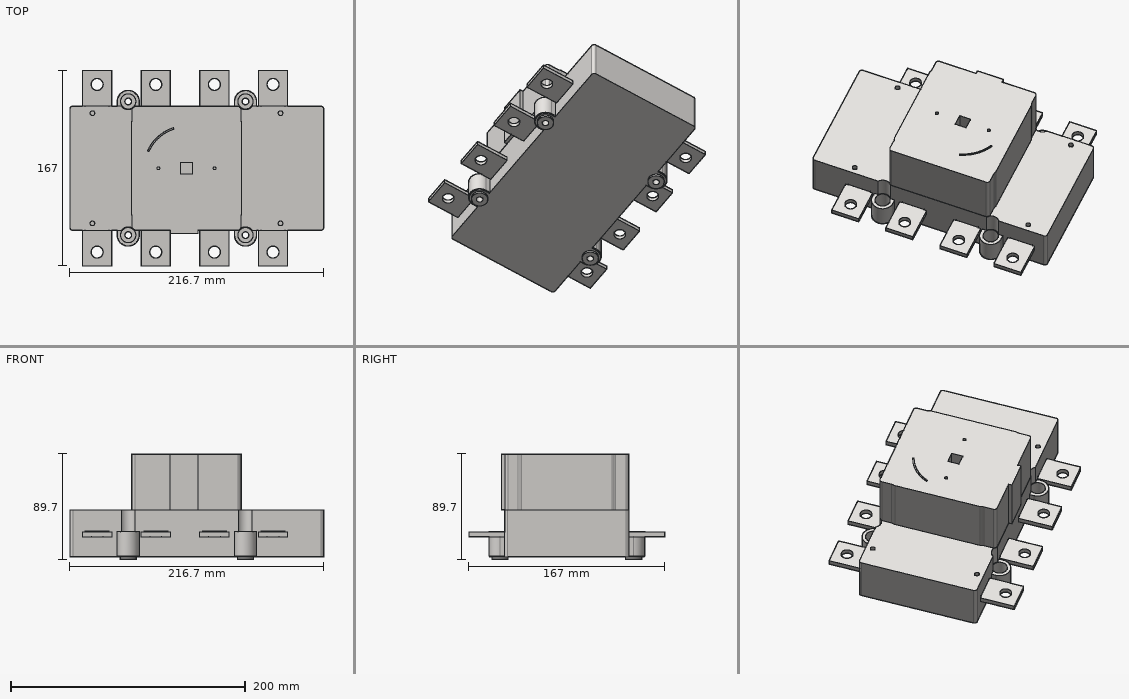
import cadquery as cq
import math


base_left = -99.5
base_length = 216.7
base_depth = 106.0
base_height = 40.0
base_corner_radius = 2.5

cover_depth = 105.6
cover_height = 47.5
cover_top = base_height + cover_height
cover_half_width = 47.0
cover_end_half_width = 46.3
cover_step_y = 40.0
cover_step_run = 3.0
cover_corner_radius = 2.5
lip_center_x = -2.0
lip_width = 24.0
lip_projection = 3.0

pole_pitch = 50.0
pole_count = 4
first_pole_x = -76.2
tab_width = 25.0
tab_thickness = 4.3
tab_top = 21.2
tab_span = 167.0
tab_hole_diameter = 10.0
tab_hole_inset = 12.0
tab_relief_width = 20.5
tab_relief_height = 0.6
tab_relief_depth = 3.0

post_center_x = 0.3
post_spacing_x = 100.0
post_y = 57.0
post_diameter = 19.0
post_top = 21.5
post_root_length = 30.0
post_edge_chamfer = 0.7
foot_diameter = 14.0
foot_height = 2.2
wall_scallop_diameter = 14.0
head_recess_diameter = 13.0
head_recess_floor = 5.0
screw_hole_diameter = 5.5

spindle_socket_width = 10.0
spindle_socket_depth = 20.0
pin_hole_diameter = 2.5
pin_hole_x = 24.0
pin_hole_depth = 5.0
base_hole_diameter = 4.0
base_hole_x = 80.2
base_hole_y = 47.0
base_hole_depth = 5.0

mark_outer_radius = 36.4
mark_width = 1.3
mark_start_angle = 108.0
mark_end_angle = 156.0
mark_depth = 0.2

pole_centers_x = [first_pole_x + pole * pole_pitch for pole in range(pole_count)]
post_centers = [(post_center_x + sx * post_spacing_x / 2, sy * post_y) for sx in (-1, 1) for sy in (-1, 1)]


def box(left, right, front, back, bottom, top):
    """Axis-aligned block given by its six limits."""
    return (
        cq.Workplane("XY", origin=(0, 0, bottom))
        .moveTo((left + right) / 2, (front + back) / 2)
        .rect(right - left, back - front)
        .extrude(top - bottom)
    )


def make_base():
    block = box(base_left, base_left + base_length, -base_depth / 2, base_depth / 2, 0, base_height)
    return block.edges("|Z").fillet(base_corner_radius)


def make_cover():
    """Cover block, slightly wider in the middle, with smooth S-shaped steps in its sides."""
    end_y = cover_depth / 2
    step_middle_x = (cover_half_width + cover_end_half_width) / 2
    step_inner_y = cover_step_y - cover_step_run / 2
    step_outer_y = cover_step_y + cover_step_run / 2
    half = (
        cq.Workplane("XY", origin=(0, 0, base_height))
        .moveTo(0, -end_y)
        .lineTo(cover_end_half_width, -end_y)
        .lineTo(cover_end_half_width, -step_outer_y)
        .tangentArcPoint((step_middle_x, -cover_step_y), relative=False)
        .tangentArcPoint((cover_half_width, -step_inner_y), relative=False)
        .lineTo(cover_half_width, step_inner_y)
        .tangentArcPoint((step_middle_x, cover_step_y), relative=False)
        .tangentArcPoint((cover_end_half_width, step_outer_y), relative=False)
        .lineTo(cover_end_half_width, end_y)
        .lineTo(0, end_y)
        .close()
        .extrude(cover_height)
    )
    half = half.edges("|Z").edges(">Y or <Y").edges(">X").fillet(cover_corner_radius)
    return half.union(half.mirror("YZ"))


def make_lip():
    """Shallow raised pad on the front face of the cover."""
    left = lip_center_x - lip_width / 2
    right = lip_center_x + lip_width / 2
    return box(left, right, -cover_depth / 2 - lip_projection, 0, base_height, cover_top)


def make_tabs():
    """Flat terminal bars running through the base, one per pole, drilled near both ends."""
    bottom = tab_top - tab_thickness
    hole_y = tab_span / 2 - tab_hole_inset
    tabs = cq.Workplane("XY")
    for x in pole_centers_x:
        tab = box(x - tab_width / 2, x + tab_width / 2, -tab_span / 2, tab_span / 2, bottom, tab_top)
        tabs = tabs.add(drill(tab, [(x, -hole_y), (x, hole_y)], tab_hole_diameter, tab_top, tab_thickness))
    return tabs.combine()


def make_tab_reliefs():
    """Thin slits in the front and back base walls, just above every tab."""
    wall = base_depth / 2
    top = tab_top + tab_relief_height
    reliefs = cq.Workplane("XY")
    for x in pole_centers_x:
        left = x - tab_relief_width / 2
        right = x + tab_relief_width / 2
        reliefs = reliefs.add(box(left, right, -wall, -wall + tab_relief_depth, tab_top, top))
        reliefs = reliefs.add(box(left, right, wall - tab_relief_depth, wall, tab_top, top))
    return reliefs.combine()


def drill(body, centers, diameter, top, depth):
    """Cut round holes of the given depth downward from the height `top`."""
    cutter = cq.Workplane("XY", origin=(0, 0, top)).pushPoints(centers).circle(diameter / 2).extrude(-depth)
    return body.cut(cutter)


def make_post(x, y):
    """Round post joined to the base by straight flanks, standing on a narrower foot."""
    side = math.copysign(1, y)
    root_y = y - side * post_root_length
    post = (
        cq.Workplane("XY")
        .moveTo(x - post_diameter / 2, root_y)
        .lineTo(x - post_diameter / 2, y)
        .threePointArc((x, y + side * post_diameter / 2), (x + post_diameter / 2, y))
        .lineTo(x + post_diameter / 2, root_y)
        .close()
        .extrude(post_top)
        .faces("<Z")
        .edges("%CIRCLE")
        .chamfer(post_edge_chamfer)
    )
    foot = cq.Workplane("XY").center(x, y).circle(foot_diameter / 2).extrude(-foot_height)
    return post.union(foot)


def make_travel_mark():
    """Ring sector swept around the spindle between the two switch positions."""
    inner_radius = mark_outer_radius - mark_width
    middle_angle = (mark_start_angle + mark_end_angle) / 2

    def polar(radius, angle):
        return (radius * math.cos(math.radians(angle)), radius * math.sin(math.radians(angle)))

    return (
        cq.Workplane("XY", origin=(0, 0, cover_top))
        .moveTo(*polar(inner_radius, mark_start_angle))
        .lineTo(*polar(mark_outer_radius, mark_start_angle))
        .threePointArc(polar(mark_outer_radius, middle_angle), polar(mark_outer_radius, mark_end_angle))
        .lineTo(*polar(inner_radius, mark_end_angle))
        .threePointArc(polar(inner_radius, middle_angle), polar(inner_radius, mark_start_angle))
        .close()
        .extrude(-mark_depth)
    )


base = make_base()
for post_center in post_centers:
    base = base.union(make_post(*post_center))
base = drill(base, post_centers, wall_scallop_diameter, base_height, base_height - post_top)
base = drill(base, post_centers, head_recess_diameter, post_top, post_top - head_recess_floor)
base = drill(base, post_centers, screw_hole_diameter, base_height, base_height + foot_height)

base_hole_centers = [(sx * base_hole_x, sy * base_hole_y) for sx in (-1, 1) for sy in (-1, 1)]
base = drill(base, base_hole_centers, base_hole_diameter, base_height, base_hole_depth)
base = base.cut(make_tab_reliefs())

cover = make_cover().union(make_lip())
socket_half = spindle_socket_width / 2
cover = cover.cut(
    box(-socket_half, socket_half, -socket_half, socket_half, cover_top - spindle_socket_depth, cover_top)
)
cover = drill(cover, [(-pin_hole_x, 0), (pin_hole_x, 0)], pin_hole_diameter, cover_top, pin_hole_depth)
cover = cover.cut(make_travel_mark())

result = base.union(make_tabs()).union(cover)